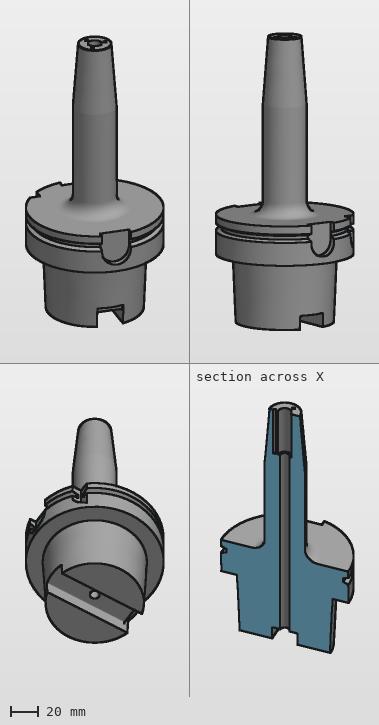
import cadquery as cq

total_height = 210.0
flange_bottom = 50.0
flange_top = 79.0
nose_bottom = 160.0

flange_radius = 50.0
taper_bottom_radius = 35.7
taper_top_radius = 37.8
shaft_radius = 16.0
shaft_fillet = 10.0
nose_top_radius = 12.2
nose_rim_chamfer = 0.5

groove_center = 70.0
groove_mouth_width = 6.0
groove_floor_width = 2.7
groove_floor_radius = 46.0

tool_bore_radius = 5.0
tool_bore_depth = 40.0
through_bore_radius = 3.5
coolant_hole_count = 3
coolant_hole_circle = 8.0
coolant_hole_radius = 1.0

slot_width = 20.0
wide_slot_width = 22.0
slot_bottom = 55.2
slot_floor_distance = 44.0
corner_notch_distance = 31.3

drive_slot_height = 10.3
drive_slot_corner = 1.0
deep_drive_slot_height = 15.1
deep_drive_slot_floor = 31.5


def make_body():
    fillet_top = flange_top + shaft_fillet
    fillet_center = (shaft_radius + shaft_fillet, fillet_top)
    diagonal = shaft_fillet * 0.5 ** 0.5
    return (
        cq.Workplane("XZ")
        .lineTo(taper_bottom_radius, 0)
        .lineTo(taper_top_radius, flange_bottom)
        .lineTo(flange_radius, flange_bottom)
        .lineTo(flange_radius, groove_center - groove_mouth_width / 2)
        .lineTo(groove_floor_radius, groove_center - groove_floor_width / 2)
        .lineTo(groove_floor_radius, groove_center + groove_floor_width / 2)
        .lineTo(flange_radius, groove_center + groove_mouth_width / 2)
        .lineTo(flange_radius, flange_top)
        .lineTo(fillet_center[0], flange_top)
        .threePointArc(
            (fillet_center[0] - diagonal, fillet_center[1] - diagonal),
            (shaft_radius, fillet_top),
        )
        .lineTo(shaft_radius, nose_bottom)
        .lineTo(nose_top_radius, total_height - nose_rim_chamfer)
        .lineTo(nose_top_radius - nose_rim_chamfer, total_height)
        .lineTo(0, total_height)
        .close()
        .revolve(360, (0, 0, 0), (0, 1, 0))
    )


def flange_slot(width, center_y, floor_x, side):
    """Slot cutter with a round bottom, running outward along X from floor_x."""
    radius = width / 2
    arc_center = slot_bottom + radius
    return (
        cq.Workplane("YZ", origin=(floor_x, 0, 0))
        .moveTo(center_y - radius, flange_top)
        .lineTo(center_y - radius, arc_center)
        .threePointArc((center_y, slot_bottom), (center_y + radius, arc_center))
        .lineTo(center_y + radius, flange_top)
        .close()
        .extrude(side * flange_radius)
    )


def drive_slot():
    """Slot crossing the whole bottom end, with rounded upper corners."""
    return (
        cq.Workplane("XY")
        .box(2 * flange_radius, slot_width, drive_slot_height, centered=(True, True, False))
        .edges("|X and >Z")
        .fillet(drive_slot_corner)
    )


def deep_drive_slot():
    """Taller recess where the crossing slot leaves the +X side."""
    return (
        cq.Workplane("XY", origin=(deep_drive_slot_floor, 0, 0))
        .box(flange_radius, slot_width, deep_drive_slot_height, centered=(False, True, False))
        .edges("|X and >Z")
        .fillet(drive_slot_corner)
    )


def nose_holes():
    """Tool bore and coolant holes, sunk from the nose face."""
    tool_bore = (
        cq.Workplane("XY", origin=(0, 0, total_height))
        .circle(tool_bore_radius)
        .extrude(-tool_bore_depth)
    )
    coolant_holes = (
        cq.Workplane("XY", origin=(0, 0, total_height))
        .polarArray(coolant_hole_circle, 90, 360, coolant_hole_count)
        .circle(coolant_hole_radius)
        .extrude(-tool_bore_depth)
    )
    return tool_bore.add(coolant_holes).combine()


through_bore = cq.Workplane("XY").circle(through_bore_radius).extrude(total_height)
corner_notch_center = -corner_notch_distance - slot_width / 2

result = (
    make_body()
    .cut(flange_slot(slot_width, 0, -slot_floor_distance, -1))
    .cut(flange_slot(wide_slot_width, 0, slot_floor_distance, 1))
    .cut(flange_slot(slot_width, corner_notch_center, -corner_notch_distance, -1))
    .cut(drive_slot())
    .cut(deep_drive_slot())
    .cut(through_bore)
    .cut(nose_holes())
)